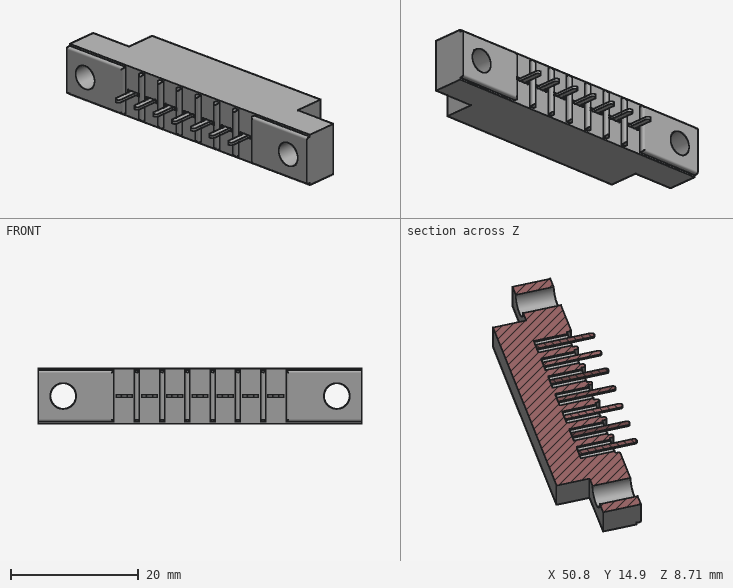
import cadquery as cq


housing_length = 50.75
housing_height = 8.71
nose_length = 35.6
flange_depth = 5.5
nose_depth = 5.4
housing_depth = flange_depth + nose_depth
overall_depth = 14.88

mount_hole_diameter = 4.0
mount_hole_spacing = 42.9

raise_height = 0.74
raise_edge_radius = 0.38
raise_inset = 0.35
raise_span = housing_height - 2 * raise_inset
pad_length = 11.85
rib_width = 0.8

pin_count = 7
pin_pitch = 3.96
pin_width = 0.96
pin_thickness = 0.46
pin_projection = overall_depth - housing_depth
slot_width = 2.5
slot_depth = flange_depth

pin_positions = [(i - (pin_count - 1) / 2) * pin_pitch for i in range(pin_count)]
rib_positions = [x + pin_pitch / 2 for x in pin_positions[:-1]]


def box(length, y_front, y_back, height):
    """Box centred on X and Z that reaches from y_front to y_back."""
    depth = y_back - y_front
    return cq.Workplane("XY").box(length, depth, height).translate((0, (y_front + y_back) / 2, 0))


def make_rib():
    """Raised bar with every edge of its outer face rounded."""
    bar = box(rib_width, -raise_height, 0, raise_span)
    return bar.faces("<Y").edges().fillet(raise_edge_radius)


def make_pad(side):
    """Raised pad at one end (side -1 or +1), rounded except along the end of the housing."""
    outer_face = "<X" if side < 0 else ">X"
    pad = box(pad_length, -raise_height, 0, raise_span)
    rounded_edges = pad.faces("<Y").edges().edges(f"not({outer_face})")
    pad = rounded_edges.fillet(raise_edge_radius)
    return pad.translate((side * (housing_length - pad_length) / 2, 0, 0))


def make_housing():
    flanges = box(housing_length, 0, flange_depth, housing_height)
    nose = box(nose_length, flange_depth, housing_depth, housing_height)
    body = flanges.union(nose)

    for side in (-1, 1):
        body = body.union(make_pad(side))
    for x in rib_positions:
        body = body.union(make_rib().translate((x, 0, 0)))

    for side in (-1, 1):
        hole = (
            cq.Workplane("XZ", origin=(side * mount_hole_spacing / 2, 0, 0))
            .circle(mount_hole_diameter / 2)
            .extrude(housing_depth, both=True)
        )
        body = body.cut(hole)

    slot = box(slot_width, 0, slot_depth, pin_thickness)
    for x in pin_positions:
        body = body.cut(slot.translate((x, 0, 0)))
    return body


def make_pin(x):
    """Flat pin with a full-round tip, seated on the floor of its slot."""
    tip_radius = pin_width / 2
    tip_start = tip_radius - pin_projection
    outline = (
        cq.Workplane("XY", origin=(x, 0, -pin_thickness / 2))
        .moveTo(-tip_radius, slot_depth)
        .lineTo(-tip_radius, tip_start)
        .threePointArc((0, -pin_projection), (tip_radius, tip_start))
        .lineTo(tip_radius, slot_depth)
        .close()
    )
    return outline.extrude(pin_thickness)


housing = make_housing()
pins = [make_pin(x) for x in pin_positions]

result = cq.Compound.makeCompound([housing.val(), *[pin.val() for pin in pins]])